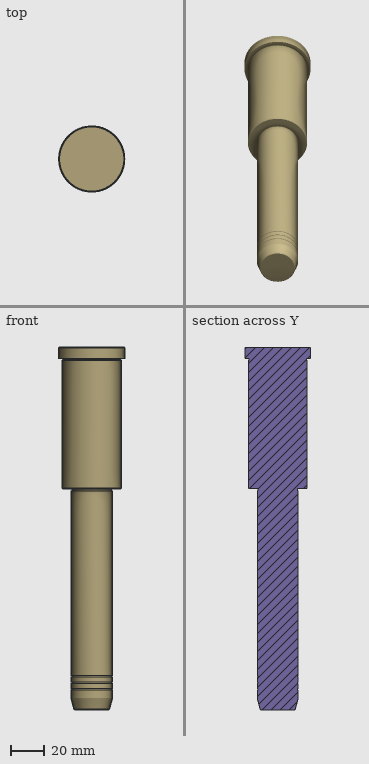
import cadquery as cq

total_length = 220.0
head_diameter = 40.0
head_height = 7.0
body_diameter = 36.0
body_bottom_below_top = 86.0
shaft_diameter = 25.0

edge_chamfer = 0.5

undercut_depth = 0.5
undercut_neck_height = 0.7
undercut_cone_height = 0.5

shaft_relief_depth = 0.5
shaft_relief_height = 1.0

tip_taper_height = 7.0
tip_diameter = 21.5

groove_count = 3
groove_pitch = 4.0
lowest_groove_height = 12.5
groove_radius = 0.5

head_radius = head_diameter / 2
body_radius = body_diameter / 2
shaft_radius = shaft_diameter / 2
tip_radius = tip_diameter / 2


def make_pin():
    """Revolve the half profile of the pin about Z, from the tip upward."""
    head_bottom = total_length - head_height
    neck_bottom = head_bottom - undercut_neck_height
    body_top = neck_bottom - undercut_cone_height
    body_bottom = total_length - body_bottom_below_top
    shaft_top = body_bottom - shaft_relief_height
    neck_radius = body_radius - undercut_depth
    relief_radius = shaft_radius - shaft_relief_depth

    profile = [
        (0, 0),
        (tip_radius - edge_chamfer, 0),
        (tip_radius, edge_chamfer),
        (shaft_radius, tip_taper_height),
        (shaft_radius, shaft_top),
        (relief_radius, shaft_top),
        (relief_radius, body_bottom),
        (body_radius - edge_chamfer, body_bottom),
        (body_radius, body_bottom + edge_chamfer),
        (body_radius, body_top),
        (neck_radius, neck_bottom),
        (neck_radius, head_bottom),
        (head_radius, head_bottom),
        (head_radius, total_length - edge_chamfer),
        (head_radius - edge_chamfer, total_length),
        (0, total_length),
    ]
    return cq.Workplane("XZ").polyline(profile).close().revolve(360, (0, 0), (0, 1))


def make_groove_ring(height):
    """Torus centred on the shaft surface, used to cut one oil groove."""
    section = cq.Workplane("XZ").center(shaft_radius, height).circle(groove_radius)
    return section.revolve(360, (-shaft_radius, 0), (-shaft_radius, 1))


result = make_pin()
for index in range(groove_count):
    result = result.cut(make_groove_ring(lowest_groove_height + index * groove_pitch))